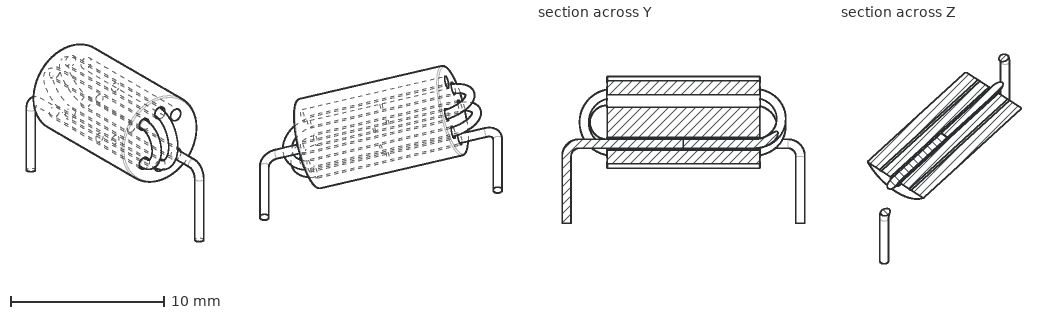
import cadquery as cq
import math


core_diameter = 6.0
core_length = 10.0
rim_radius = 0.1
hole_diameter = 0.8
hole_circle_radius = 1.88
side_hole_y = 1.27
side_hole_z = math.sqrt(hole_circle_radius**2 - side_hole_y**2)

wire_diameter = 0.6
leg_span = 15.84
leg_bottom_z = -6.59
bend_radius = 0.8

left_loop_reach = 1.38
middle_loop_reach = 1.49
side_loop_reach = 1.4

leg_x = (leg_span - wire_diameter) / 2
face_x = core_length / 2

top_middle = (0, hole_circle_radius)
bottom_middle = (0, -hole_circle_radius)
front_upper = (-side_hole_y, side_hole_z)
front_lower = (-side_hole_y, -side_hole_z)
back_upper = (side_hole_y, side_hole_z)
back_lower = (side_hole_y, -side_hole_z)
holes = [top_middle, bottom_middle, front_upper, front_lower, back_upper, back_lower]


def make_core():
    core = (
        cq.Workplane("YZ", origin=(-face_x, 0, 0))
        .circle(core_diameter / 2)
        .extrude(core_length)
        .edges()
        .fillet(rim_radius)
    )
    drills = (
        cq.Workplane("YZ", origin=(-face_x, 0, 0))
        .pushPoints(holes)
        .circle(hole_diameter / 2)
        .extrude(core_length)
    )
    return core.cut(drills)


def sweep_wire(path_edges, start):
    """Sweep the round wire section along a path that starts parallel to X."""
    path = cq.Workplane(cq.Wire.assembleEdges(path_edges))
    section = cq.Workplane("YZ", origin=start).circle(wire_diameter / 2)
    return section.sweep(path)


def make_leg(side, hole):
    """Run from the middle of a hole out of the bead, then bend down to the foot."""
    y, z = hole
    start = cq.Vector(0, y, z)
    bend_start = cq.Vector(side * (leg_x - bend_radius), y, z)
    bend_end = cq.Vector(side * leg_x, y, z - bend_radius)
    foot = cq.Vector(side * leg_x, y, leg_bottom_z)
    edges = [
        cq.Edge.makeLine(start, bend_start),
        cq.Edge.makeTangentArc(bend_start, cq.Vector(side, 0, 0), bend_end),
        cq.Edge.makeLine(bend_end, foot),
    ]
    return sweep_wire(edges, start)


def make_loop(side, first_hole, second_hole, reach):
    """Join two holes by a semicircle; the straight ends stop at mid-length of the bead."""
    first = cq.Vector(0, *first_hole)
    second = cq.Vector(0, *second_hole)
    loop_radius = (second - first).Length / 2
    apex_x = face_x + reach
    straight = cq.Vector(side * (apex_x - loop_radius), 0, 0)
    apex = (first + second) * 0.5 + cq.Vector(side * apex_x, 0, 0)
    edges = [
        cq.Edge.makeLine(first, first + straight),
        cq.Edge.makeThreePointArc(first + straight, apex, second + straight),
        cq.Edge.makeLine(second + straight, second),
    ]
    return sweep_wire(edges, first)


left, right = -1, 1

core = make_core()

legs = []
for side, hole in [(left, front_lower), (right, back_lower)]:
    legs.append(make_leg(side, hole))

loop_places = [
    (left, front_upper, bottom_middle, left_loop_reach),
    (left, top_middle, back_lower, left_loop_reach),
    (right, front_upper, front_lower, side_loop_reach),
    (right, top_middle, bottom_middle, middle_loop_reach),
]
loops = []
for side, first_hole, second_hole, reach in loop_places:
    loops.append(make_loop(side, first_hole, second_hole, reach))

wire_pieces = [piece.val() for piece in legs + loops]
result = cq.Compound.makeCompound([core.val(), *wire_pieces])